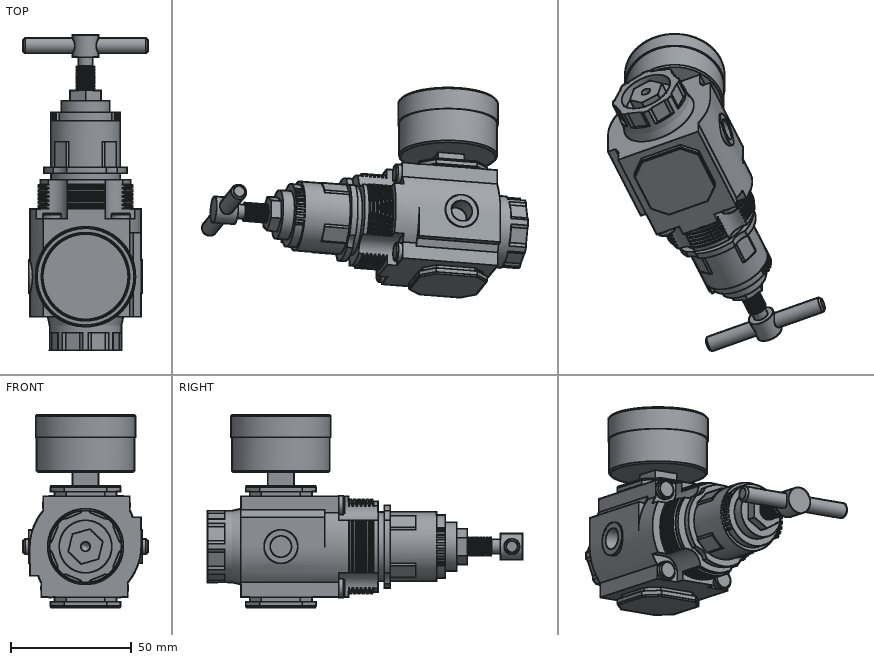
import cadquery as cq
import math


FRONT_END = -30.65
CAP_POCKET_START = -23.4
NOSE_END = -20.3
BODY_FRONT = -16.7
BLOCK_END = 18.25
POCKET_FLOOR = 24.1
BODY_BACK = 28.2
COLLAR_THREAD_END = 38.6
COLLAR_END = 40.45
PANEL_NUT_FRONT = 43.05
PANEL_NUT_BACK = 45.65
PAD_END = 56.2
SKIRT_END = 64.9
KNURL_END = 68.5
HUB_END = 73.3
LOCKNUT_END = 77.65
STEM_THREAD_END = 87.9
HANDLE_HUB_START = 91.45
HANDLE_BAR_Y = 96.2
HANDLE_HUB_END = 100.72

BODY_RADIUS = 23.15
BODY_HALF_HEIGHT = 21.05
SLAB_NEAR = 17.7
SLAB_FAR = 18.45
BLOCK_HEIGHT = 12.25
BLOCK_SLOPE_TOP = (18.45, 15.3)
BLOCK_SLOPE_FOOT = (19.8, BLOCK_HEIGHT)

SCREW_SPREAD_X = 14.3
SCREW_SHIFT_X = 0.35
SCREW_Z = 17.3
POCKET_FILLET = 6.4
SCREW_HEAD_RADIUS = 3.95
SCREW_HEAD_HEIGHT = 2.4
SCREW_HEAD_CHAMFER = 0.6

PORT_BOSS_RADIUS = 7.0
PORT_BOSS_REACH = 23.65
PORT_HOLE_RADIUS = 4.45
PORT_DEPTH = 10.0

NOSE_RADIUS = 15.8
CAP_RADIUS = 15.0
CAP_POCKET_COUNT = 8
CAP_POCKET_DEPTH = 1.2
CAP_POCKET_FLOOR_HALF = 3.2
CAP_POCKET_RIM_HALF = 4.6
CAP_BORE_RADIUS = 10.95
CAP_BORE_DEPTH = 5.0
HEX_ACROSS_FLATS = 13.0
CAP_HEX_VERTEX_ANGLE = 16.0
LOCKNUT_VERTEX_ANGLE = 90.0
CAP_HOLE_RADIUS = 1.95
CAP_HOLE_DEPTH = 4.0

THREAD_FOOT_SHARE = 0.8
THREAD_CREST_SHARE = 0.4

COLLAR_RADIUS = 18.95
COLLAR_CREST_RADIUS = 19.75
COLLAR_ROOT_RADIUS = 18.75
COLLAR_TURNS = 6

PANEL_NUT_RADIUS = 17.3
KNOB_RADIUS = 14.5
PAD_HALF_WIDTH = 12.75
PAD_CHAMFER = 4.75
KNURL_ROOT_RADIUS = 13.15
KNURL_HALF_ANGLE = 33.0
KNURL_PITCH_ANGLE = 9.2
KNURL_GROOVES = 7
KNURL_GROOVE_WIDTH = 1.3
HUB_RADIUS = 10.2

STEM_RADIUS = 3.05
STEM_CREST_RADIUS = 3.9
STEM_TURNS = 8
HANDLE_HUB_RADIUS = 5.5
HANDLE_RADIUS = 3.22
HANDLE_LENGTH = 52.07
HANDLE_CHAMFER = 0.85

FITTING_INNER_HALF = 13.0
FITTING_INNER_CHAMFER = 4.9
FITTING_OUTER_HALF = 14.65
FITTING_OUTER_CHAMFER = 5.85
FITTING_STEP = 22.9
FITTING_BEVEL_START = 24.65
FITTING_END = 25.4
FITTING_BEVEL_ANGLE = 25.0
GAUGE_NECK_WIDTH = 11.0
GAUGE_BOTTOM = 30.95
GAUGE_STEP = 45.5
GAUGE_TOP = 54.96
GAUGE_RADIUS = 20.45
BEZEL_RADIUS = 20.85
GAUGE_BEVEL = 0.7
DIAL_RIM_RADIUS = 18.4
DIAL_RADIUS = 17.75
DIAL_DEPTH = 2.2


def y_cylinder(radius, start, end):
    """Cylinder on the main axis between two Y stations."""
    return cq.Workplane("XZ", origin=(0, start, 0)).circle(radius).extrude(start - end)


def y_prism(points, start, end):
    """Prism with an (X, Z) outline between two Y stations."""
    return cq.Workplane("XZ", origin=(0, start, 0)).polyline(points).close().extrude(start - end)


def y_hexagon(start, end, vertex_angle):
    """Hexagonal prism whose first vertex lies at the given angle from +X toward +Z."""
    radius = HEX_ACROSS_FLATS / math.sqrt(3)
    angles = [math.radians(vertex_angle + 60 * i) for i in range(6)]
    return y_prism([(radius * math.cos(a), radius * math.sin(a)) for a in angles], start, end)


def y_revolve(points):
    """Solid of revolution about the main axis from a (radius, Y) outline."""
    return cq.Workplane("XY").polyline(points).close().revolve(360, (0, 0), (0, 1))


def chamfered_square(half, chamfer):
    """Corner points of a square with cut corners."""
    flat = half - chamfer
    side = [(half, -flat), (half, flat)]
    points = []
    for _ in range(4):
        points += side
        side = [(-y, x) for x, y in side]
    return points


def about_y(shape, angle):
    """Shape turned about the main axis."""
    return shape.rotate((0, 0, 0), (0, 1, 0), angle)


def thread_rings(root, crest, start, end, turns):
    """Core with evenly spaced trapezoidal thread ridges."""
    pitch = (end - start) / turns
    half_foot = THREAD_FOOT_SHARE * pitch / 2
    half_crest = THREAD_CREST_SHARE * pitch / 2
    points = [(0, start), (root, start)]
    for i in range(turns):
        middle = start + (i + 0.5) * pitch
        points.append((root, middle - half_foot))
        points.append((crest, middle - half_crest))
        points.append((crest, middle + half_crest))
        points.append((root, middle + half_foot))
    points += [(root, end), (0, end)]
    return y_revolve(points)


def make_body():
    body = y_cylinder(BODY_RADIUS, BODY_FRONT, BODY_BACK)
    upper_slab = y_prism(
        [
            (-SLAB_NEAR, 0),
            (SLAB_FAR, 0),
            (SLAB_FAR, BODY_HALF_HEIGHT),
            (-SLAB_NEAR, BODY_HALF_HEIGHT),
        ],
        BODY_FRONT,
        BODY_BACK,
    )
    side_block = y_prism(
        [
            (0, 0),
            (BODY_RADIUS, 0),
            (BODY_RADIUS, BLOCK_HEIGHT),
            BLOCK_SLOPE_FOOT,
            BLOCK_SLOPE_TOP,
            (0, BLOCK_SLOPE_TOP[1]),
        ],
        BODY_FRONT,
        BLOCK_END,
    )
    envelope = y_prism(
        [
            (-BODY_RADIUS, -BODY_HALF_HEIGHT),
            (BODY_RADIUS, -BODY_HALF_HEIGHT),
            (BODY_RADIUS, BODY_HALF_HEIGHT),
            (-BODY_RADIUS, BODY_HALF_HEIGHT),
        ],
        BODY_FRONT,
        BODY_BACK,
    )
    body = body.intersect(envelope)
    for turn in (0, 180):
        body = body.union(about_y(upper_slab, turn)).union(about_y(side_block, turn))
    return body


def make_side_ports(body):
    boss = cq.Workplane("YZ").circle(PORT_BOSS_RADIUS).extrude(PORT_BOSS_REACH, both=True)
    body = body.union(boss)
    for side in (-1, 1):
        mouth = cq.Workplane("YZ", origin=(side * PORT_BOSS_REACH, 0, 0))
        body = body.cut(mouth.circle(PORT_HOLE_RADIUS).extrude(-side * PORT_DEPTH))
    return body


def screw_positions():
    upper = [(side * SCREW_SPREAD_X + SCREW_SHIFT_X, SCREW_Z) for side in (-1, 1)]
    lower = [(-x, -z) for x, z in upper]
    return upper + lower


def corner_pocket(x, z):
    """Corner clearance with a rounded inner edge around one screw."""
    reach = 2 * BODY_RADIUS
    inner_x = abs(x) - POCKET_FILLET
    inner_z = abs(z) - POCKET_FILLET
    length = PANEL_NUT_BACK - POCKET_FLOOR
    pocket = cq.Workplane("XY").box(reach, length, reach, centered=False)
    pocket = pocket.edges("|Y and <X and <Z").fillet(POCKET_FILLET)
    pocket = pocket.translate((inner_x, POCKET_FLOOR, inner_z))
    if x < 0:
        pocket = pocket.mirror("YZ")
    if z < 0:
        pocket = pocket.mirror("XY")
    return pocket


def screw_head(x, z):
    head = y_cylinder(SCREW_HEAD_RADIUS, POCKET_FLOOR, POCKET_FLOOR + SCREW_HEAD_HEIGHT)
    return head.faces(">Y").chamfer(SCREW_HEAD_CHAMFER).translate((x, 0, z))


def make_collar():
    collar = y_cylinder(COLLAR_RADIUS, COLLAR_THREAD_END, COLLAR_END)
    thread = thread_rings(
        COLLAR_ROOT_RADIUS, COLLAR_CREST_RADIUS, BODY_BACK, COLLAR_THREAD_END, COLLAR_TURNS
    )
    return collar.union(thread)


def make_cap():
    cap = y_cylinder(CAP_RADIUS, FRONT_END, NOSE_END)
    nose = y_revolve([(0, BODY_FRONT), (NOSE_RADIUS, BODY_FRONT), (CAP_RADIUS, NOSE_END), (0, NOSE_END)])
    floor = CAP_RADIUS - CAP_POCKET_DEPTH
    rim = math.sqrt(CAP_RADIUS**2 - CAP_POCKET_RIM_HALF**2)
    pocket = y_prism(
        [
            (-CAP_POCKET_FLOOR_HALF, floor),
            (CAP_POCKET_FLOOR_HALF, floor),
            (CAP_POCKET_RIM_HALF, rim),
            (CAP_POCKET_RIM_HALF, NOSE_RADIUS),
            (-CAP_POCKET_RIM_HALF, NOSE_RADIUS),
            (-CAP_POCKET_RIM_HALF, rim),
        ],
        FRONT_END,
        CAP_POCKET_START,
    )
    for i in range(CAP_POCKET_COUNT):
        cap = cap.cut(about_y(pocket, (i + 0.5) * 360 / CAP_POCKET_COUNT))
    bore_floor = FRONT_END + CAP_BORE_DEPTH
    cap = cap.cut(y_cylinder(CAP_BORE_RADIUS, FRONT_END, bore_floor))
    cap = cap.union(y_hexagon(FRONT_END, bore_floor, CAP_HEX_VERTEX_ANGLE))
    hole_end = FRONT_END + CAP_HOLE_DEPTH
    hole = y_revolve(
        [
            (0, FRONT_END),
            (CAP_HOLE_RADIUS, FRONT_END),
            (CAP_HOLE_RADIUS, hole_end),
            (0, hole_end + CAP_HOLE_RADIUS),
        ]
    )
    return cap.union(nose).cut(hole)


def make_knurl():
    """Toothed sectors on both X sides of the knob's rear step."""
    root = y_cylinder(KNURL_ROOT_RADIUS, SKIRT_END, KNURL_END)
    reach = 2 * KNOB_RADIUS
    height = reach * math.tan(math.radians(KNURL_HALF_ANGLE))
    bow_tie = y_prism([(0, 0), (reach, height), (reach, -height)], SKIRT_END, KNURL_END)
    teeth = y_cylinder(KNOB_RADIUS, SKIRT_END, KNURL_END).intersect(bow_tie)
    half_width = KNURL_GROOVE_WIDTH / 2
    groove = y_prism(
        [
            (KNURL_ROOT_RADIUS, -half_width),
            (reach, -half_width),
            (reach, half_width),
            (KNURL_ROOT_RADIUS, half_width),
        ],
        SKIRT_END,
        KNURL_END,
    )
    for i in range(KNURL_GROOVES):
        teeth = teeth.cut(about_y(groove, (i - (KNURL_GROOVES - 1) / 2) * KNURL_PITCH_ANGLE))
    return root.union(teeth).union(about_y(teeth, 180))


def make_knob():
    knob = y_cylinder(KNOB_RADIUS, COLLAR_END, SKIRT_END)
    pads = y_prism(chamfered_square(PAD_HALF_WIDTH, PAD_CHAMFER), PANEL_NUT_BACK, PAD_END)
    hub = y_cylinder(HUB_RADIUS, KNURL_END, HUB_END)
    return knob.union(pads).union(make_knurl()).union(hub)


def make_handle():
    locknut = y_hexagon(HUB_END, LOCKNUT_END, LOCKNUT_VERTEX_ANGLE)
    thread = thread_rings(
        STEM_RADIUS, STEM_CREST_RADIUS, LOCKNUT_END, STEM_THREAD_END, STEM_TURNS
    )
    stem = y_cylinder(STEM_RADIUS, STEM_THREAD_END, HANDLE_HUB_START)
    hub = y_cylinder(HANDLE_HUB_RADIUS, HANDLE_HUB_START, HANDLE_HUB_END)
    bar = cq.Workplane("YZ", origin=(-HANDLE_LENGTH / 2, HANDLE_BAR_Y, 0)).circle(HANDLE_RADIUS)
    bar = bar.extrude(HANDLE_LENGTH).faces("<X or >X").chamfer(HANDLE_CHAMFER)
    return locknut.union(thread).union(stem).union(hub).union(bar)


def make_port_fitting():
    """Stepped square plug with cut corners on the upper gauge port."""
    inner = cq.Workplane("XY", origin=(0, 0, BODY_HALF_HEIGHT))
    inner = inner.polyline(chamfered_square(FITTING_INNER_HALF, FITTING_INNER_CHAMFER)).close()
    inner = inner.extrude(FITTING_STEP - BODY_HALF_HEIGHT)
    outline = chamfered_square(FITTING_OUTER_HALF, FITTING_OUTER_CHAMFER)
    outer = cq.Workplane("XY", origin=(0, 0, FITTING_STEP)).polyline(outline).close()
    outer = outer.extrude(FITTING_BEVEL_START - FITTING_STEP)
    bevel = cq.Workplane("XY", origin=(0, 0, FITTING_BEVEL_START)).polyline(outline).close()
    bevel = bevel.extrude(FITTING_END - FITTING_BEVEL_START, taper=FITTING_BEVEL_ANGLE)
    return inner.union(outer).union(bevel)


def make_gauge():
    neck = cq.Workplane("XY", origin=(0, 0, FITTING_END)).rect(GAUGE_NECK_WIDTH, GAUGE_NECK_WIDTH)
    neck = neck.extrude(GAUGE_BOTTOM - FITTING_END)
    dial_z = GAUGE_TOP - DIAL_DEPTH
    outline = [
        (0, GAUGE_BOTTOM),
        (GAUGE_RADIUS - GAUGE_BEVEL, GAUGE_BOTTOM),
        (GAUGE_RADIUS, GAUGE_BOTTOM + GAUGE_BEVEL),
        (GAUGE_RADIUS, GAUGE_STEP),
        (BEZEL_RADIUS, GAUGE_STEP),
        (BEZEL_RADIUS, GAUGE_TOP - GAUGE_BEVEL),
        (BEZEL_RADIUS - GAUGE_BEVEL, GAUGE_TOP),
        (DIAL_RIM_RADIUS, GAUGE_TOP),
        (DIAL_RADIUS, dial_z),
        (0, dial_z),
    ]
    case = cq.Workplane("XZ").polyline(outline).close().revolve(360, (0, 0), (0, 1))
    return neck.union(case)


panel_nut = y_cylinder(PANEL_NUT_RADIUS, PANEL_NUT_FRONT, PANEL_NUT_BACK)
result = make_side_ports(make_body()).union(make_collar()).union(panel_nut)
for screw_x, screw_z in screw_positions():
    result = result.cut(corner_pocket(screw_x, screw_z)).union(screw_head(screw_x, screw_z))
result = result.union(make_cap()).union(make_knob()).union(make_handle())
fitting = make_port_fitting()
result = result.union(fitting).union(fitting.mirror("XY")).union(make_gauge())